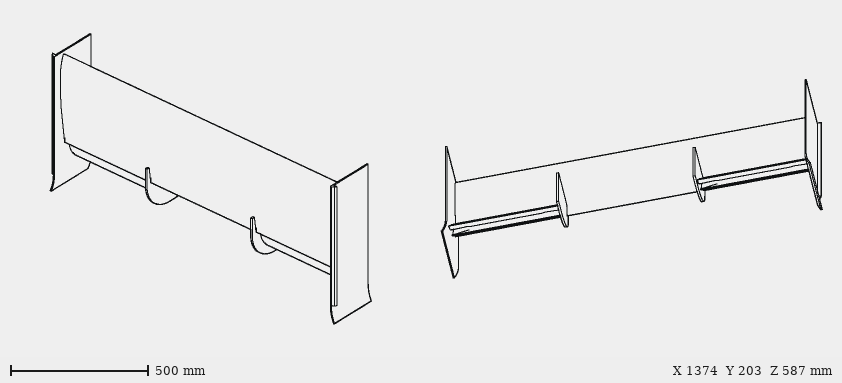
import cadquery as cq
import math

span = 1374.0
depth = 203.0
height = 587.0
front_y = -depth / 2
rear_y = depth / 2

sheet_thickness = 5.0
skirt_height = 71.0
skirt_angle = math.radians(25)
lip_depth = 14.0
lip_edge_width = 5.0
lip_face_drop = 5.0
lip_bottom_z = 74.0

skirt_radius = skirt_height / math.sin(skirt_angle)
bend_center_x = span / 2 + (skirt_radius - sheet_thickness) * math.cos(skirt_angle)
plate_inner_x = bend_center_x - skirt_radius
plate_outer_x = plate_inner_x + sheet_thickness

fence_center_x = 254.0
fence_thickness = 8.0
fence_bottom_z = 60.0
fence_top_z = 258.0
fence_front_y = -66.0
fence_corner_radius = 124.0

main_nose = (-50.0, 575.0)
main_rear_face = [(-40.0, 548.0), (-38.0, 508.0), (-41.0, 453.0), (-43.0, 344.0), (-43.0, 247.0)]
main_front_face = [(-60.0, 550.0), (-69.0, 467.0), (-67.0, 385.0), (-58.0, 289.0), (-51.0, 234.0)]
main_tail = (-44.0, 191.0)

middle_flap_nose = (-18.0, 234.0)
middle_flap_rear_face = [(-12.0, 205.0), (-5.0, 155.0)]
middle_flap_front_face = [(-27.0, 220.0), (-26.0, 190.0), (-11.0, 142.0)]
middle_flap_tail = (12.0, 110.0)

rear_flap_nose = (26.0, 155.0)
rear_flap_rear_face = [(37.0, 129.0), (50.0, 102.0)]
rear_flap_front_face = [(20.0, 148.0), (22.0, 135.0), (44.0, 99.0)]
rear_flap_tail = (73.0, 78.0)

tail_thickness = 1.0


def aerofoil(nose, rear_face, front_face, tail, start_x, end_x):
    """Extrude a nose-to-tail section along X."""
    front_tail = (tail[0] - tail_thickness, tail[1])
    return (
        cq.Workplane("YZ", origin=(start_x, 0, 0))
        .moveTo(*front_tail)
        .spline(front_face[::-1] + [nose] + rear_face + [tail], includeCurrent=True)
        .close()
        .extrude(end_x - start_x)
    )


def end_plate():
    """Right-hand plate and skirt, swept along the full depth."""
    def bend_point(radius, angle):
        return (bend_center_x - radius * math.cos(angle), skirt_height - radius * math.sin(angle))

    outer_radius = skirt_radius - sheet_thickness
    return (
        cq.Workplane("XZ", origin=(0, rear_y, 0))
        .moveTo(plate_inner_x, height)
        .lineTo(plate_inner_x, skirt_height)
        .threePointArc(bend_point(skirt_radius, skirt_angle / 2), bend_point(skirt_radius, skirt_angle))
        .lineTo(*bend_point(outer_radius, skirt_angle))
        .threePointArc(bend_point(outer_radius, skirt_angle / 2), (plate_outer_x, skirt_height))
        .lineTo(plate_outer_x, height)
        .close()
        .extrude(depth)
    )


def front_lip():
    """Right-hand lip, its face falling back in two slopes towards the outside."""
    lip_rear_y = front_y + lip_depth
    return (
        cq.Workplane("XY", origin=(0, 0, lip_bottom_z))
        .polyline([
            (plate_inner_x, front_y),
            (plate_outer_x, front_y),
            (span / 2 - lip_edge_width, front_y + lip_face_drop),
            (span / 2, lip_rear_y),
            (plate_inner_x, lip_rear_y),
        ])
        .close()
        .extrude(height - lip_bottom_z)
    )


def fence():
    """Right-hand fence with a rounded lower front corner."""
    fence_depth = rear_y - fence_front_y
    fence_height = fence_top_z - fence_bottom_z
    return (
        cq.Workplane("XY")
        .box(fence_thickness, fence_depth, fence_height, centered=(True, False, False))
        .translate((fence_center_x, fence_front_y, fence_bottom_z))
        .edges("|X and <Y and <Z")
        .fillet(fence_corner_radius)
    )


wing_end_x = plate_inner_x + sheet_thickness / 2
right_side = end_plate().union(front_lip()).union(fence())
right_side = right_side.union(aerofoil(
    middle_flap_nose, middle_flap_rear_face, middle_flap_front_face, middle_flap_tail,
    fence_center_x, wing_end_x,
))
right_side = right_side.union(aerofoil(
    rear_flap_nose, rear_flap_rear_face, rear_flap_front_face, rear_flap_tail,
    fence_center_x, wing_end_x,
))

main_wing = aerofoil(
    main_nose, main_rear_face, main_front_face, main_tail, -wing_end_x, wing_end_x
)
result = main_wing.union(right_side).union(right_side.mirror("YZ"))